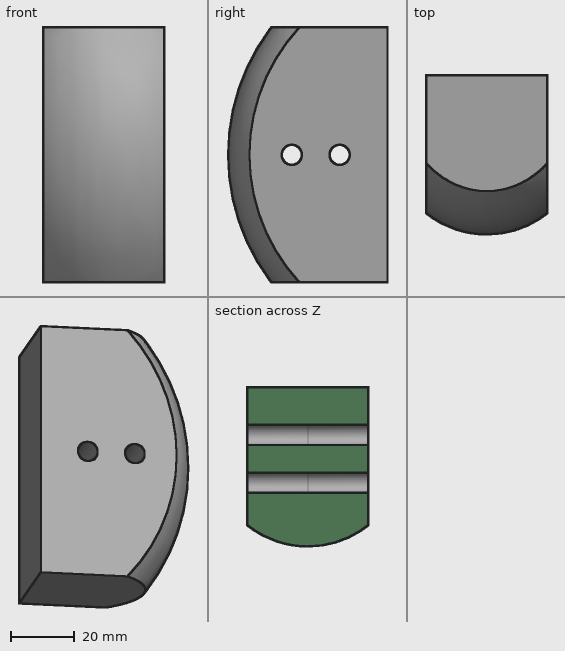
import cadquery as cq

width = 38.1
depth = 50.0
height = 80.0

crown_radius = 65.6
cross_radius = 30.3

hole_diameter = 6.2
hole_pitch = 15.0
hole_count = 2

half_width = width / 2
cross_sag = cross_radius - (cross_radius**2 - half_width**2) ** 0.5
axis_y = crown_radius - depth


def domed_body():
    """Solid of revolution whose outer surface is the domed front."""
    return (
        cq.Workplane("XY")
        .moveTo(-half_width, axis_y)
        .lineTo(-half_width, cross_sag - depth)
        .threePointArc((0, -depth), (half_width, cross_sag - depth))
        .lineTo(half_width, axis_y)
        .close()
        .revolve(360, (0, axis_y, 0), (1, axis_y, 0))
    )


def block():
    return cq.Workplane("XY").box(width, depth, height).translate((0, -depth / 2, 0))


def cross_holes():
    centres = [(-hole_pitch * (i + 1), 0) for i in range(hole_count)]
    return (
        cq.Workplane("YZ")
        .pushPoints(centres)
        .circle(hole_diameter / 2)
        .extrude(half_width, both=True)
    )


result = block().intersect(domed_body()).cut(cross_holes())